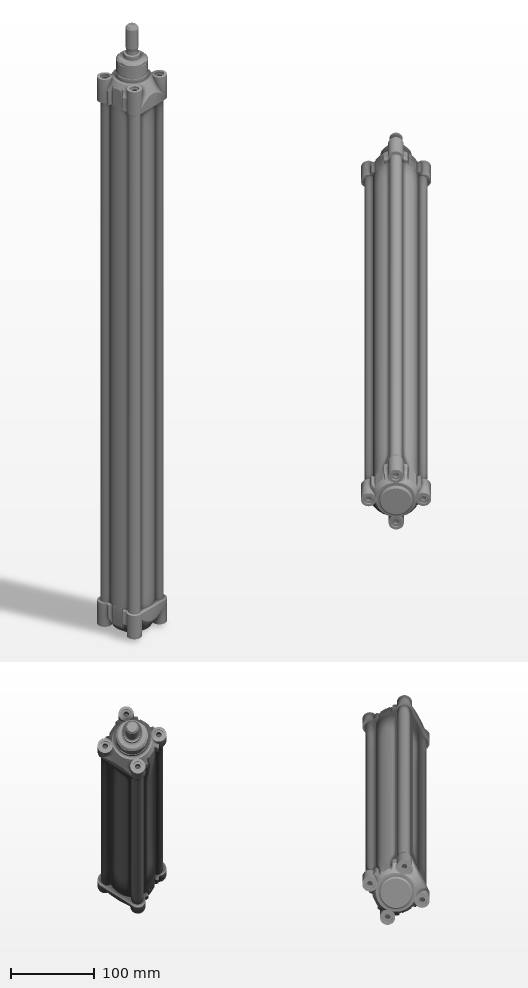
import cadquery as cq
import math

TOTAL_LENGTH = 829.0
CAP_WIDTH = 65.0
CAP_LENGTH = 32.0
SPIGOT_LENGTH = 4.0
ROD_STANDOFF = 31.0
ROD_END_LENGTH = 38.0

SHOULDER_Z = TOTAL_LENGTH - ROD_END_LENGTH
FRONT_FACE_Z = SHOULDER_Z - ROD_STANDOFF
FRONT_TUBE_Z = FRONT_FACE_Z - CAP_LENGTH
REAR_TUBE_Z = SPIGOT_LENGTH + CAP_LENGTH

CAP_RADIUS = CAP_WIDTH / 2
TAPER_TOP_RADIUS = 24.0
TAPER_LENGTH = 14.0
PAD_WIDTH = 41.5

LOBE_OFFSET = 23.0
LOBE_RADIUS = CAP_WIDTH / 2 - LOBE_OFFSET
SCREW_HOLE_DIAMETER = 7.0
SCREW_HOLE_DEPTH = 12.5
SCREW_RECESS_DIAMETER = 12.0
SCREW_RECESS_DEPTH = 2.5

POCKET_MOUTH_WIDTH = 23.0
POCKET_FLOOR_WIDTH = 18.0
POCKET_FLOOR_REACH = 26.5
RIB_WIDTH = 12.5
RIB_REACH = 28.0

BARREL_RADIUS = 28.0
TUBE_LOBE_OFFSET = 21.5
TUBE_LOBE_RADIUS = 7.5

COLLAR_DIAMETER = 40.0
COLLAR_LENGTH = 5.0
SPIGOT_CHAMFER = 2.0
NOSE_DIAMETER = 38.0
NOSE_LENGTH = 26.0
NOSE_CHAMFER = 2.5
NOTCH_WIDTH = 13.0
NOTCH_DEPTH = 1.0
UPPER_NOTCH_HEIGHT = 5.0
LOWER_NOTCH_HEIGHT = 2.5

ROD_DIAMETER = 20.0
UNDERCUT_DIAMETER = 13.0
UNDERCUT_LENGTH = 4.0
THREAD_DIAMETER = 16.0
THREAD_TIP_DIAMETER = 12.0
THREAD_TIP_LENGTH = 3.0
THREAD_RUNOUT_LENGTH = 5.0

QUARTER_TURN = 90


def cylinder(diameter, bottom, length):
    return cq.Workplane("XY", origin=(0, 0, bottom)).circle(diameter / 2).extrude(length)


def turned(shape, angle):
    return shape.rotate((0, 0, 0), (0, 0, 1), angle)


def corner_points(offset):
    return [(x, y) for x in (-offset, offset) for y in (-offset, offset)]


def corner_lobes(offset, radius, bottom, length):
    base = cq.Workplane("XY", origin=(0, 0, bottom))
    return base.pushPoints(corner_points(offset)).circle(radius).extrude(length)


def tapered_envelope():
    """Solid of revolution whose taper trims the cap body below its outer face."""
    slope = TAPER_LENGTH / (CAP_RADIUS - TAPER_TOP_RADIUS)
    reach = math.hypot(CAP_RADIUS, PAD_WIDTH / 2)
    return (
        cq.Workplane("XZ")
        .polyline([
            (0, 0),
            (reach, 0),
            (reach, CAP_LENGTH - slope * (reach - TAPER_TOP_RADIUS)),
            (TAPER_TOP_RADIUS, CAP_LENGTH),
            (0, CAP_LENGTH),
        ])
        .close()
        .revolve(360, (0, 0), (0, 1))
    )


def side_pocket():
    """Cutter for the pocket on the +X side."""
    return (
        cq.Workplane("XY")
        .polyline([
            (POCKET_FLOOR_REACH, -POCKET_FLOOR_WIDTH / 2),
            (CAP_RADIUS, -POCKET_MOUTH_WIDTH / 2),
            (CAP_RADIUS, POCKET_MOUTH_WIDTH / 2),
            (POCKET_FLOOR_REACH, POCKET_FLOOR_WIDTH / 2),
        ])
        .close()
        .extrude(CAP_LENGTH)
    )


def make_cap():
    """End cap with its tube face at Z = 0 and its outer face at the top."""
    cap = cylinder(CAP_WIDTH, 0, CAP_LENGTH)
    pad = cq.Workplane("XY").center(CAP_RADIUS / 2, 0).rect(CAP_RADIUS, PAD_WIDTH).extrude(CAP_LENGTH)
    cap = cap.union(pad)

    rib = cq.Workplane("XY").center(RIB_REACH / 2, 0).rect(RIB_REACH, RIB_WIDTH).extrude(CAP_LENGTH)
    for side in (1, 2, 3):
        angle = side * QUARTER_TURN
        cap = cap.cut(turned(side_pocket(), angle)).union(turned(rib, angle))

    cap = cap.intersect(tapered_envelope())
    cap = cap.union(corner_lobes(LOBE_OFFSET, LOBE_RADIUS, 0, CAP_LENGTH))
    return (
        cap.faces(">Z")
        .workplane(origin=(0, 0, CAP_LENGTH))
        .pushPoints(corner_points(LOBE_OFFSET))
        .cboreHole(SCREW_HOLE_DIAMETER, SCREW_RECESS_DIAMETER, SCREW_RECESS_DEPTH, SCREW_HOLE_DEPTH)
    )


def make_tube():
    length = FRONT_TUBE_Z - REAR_TUBE_Z
    barrel = cylinder(2 * BARREL_RADIUS, REAR_TUBE_Z, length)
    return barrel.union(corner_lobes(TUBE_LOBE_OFFSET, TUBE_LOBE_RADIUS, REAR_TUBE_Z, length))


def make_nose():
    """Guide nose with four shallow notches at its top and four just above the collar."""
    nose = cylinder(NOSE_DIAMETER, FRONT_FACE_Z, NOSE_LENGTH).faces(">Z").chamfer(NOSE_CHAMFER)
    upper_bottom = FRONT_FACE_Z + NOSE_LENGTH - UPPER_NOTCH_HEIGHT
    lower_bottom = FRONT_FACE_Z + COLLAR_LENGTH
    for bottom, height in ((upper_bottom, UPPER_NOTCH_HEIGHT), (lower_bottom, LOWER_NOTCH_HEIGHT)):
        notch = (
            cq.Workplane("XY", origin=(0, 0, bottom))
            .center(NOSE_DIAMETER / 2, 0)
            .rect(2 * NOTCH_DEPTH, NOTCH_WIDTH)
            .extrude(height)
        )
        for side in range(4):
            nose = nose.cut(turned(notch, side * QUARTER_TURN))
    return nose.union(cylinder(COLLAR_DIAMETER, FRONT_FACE_Z, COLLAR_LENGTH))


def make_housing():
    front_cap = make_cap().translate((0, 0, FRONT_TUBE_Z))
    rear_cap = make_cap().mirror("XY").translate((0, 0, REAR_TUBE_Z))
    spigot = cylinder(COLLAR_DIAMETER, 0, SPIGOT_LENGTH).faces("<Z").chamfer(SPIGOT_CHAMFER)
    housing = make_tube().union(front_cap).union(rear_cap).union(spigot).union(make_nose())
    return housing.cut(cylinder(ROD_DIAMETER, REAR_TUBE_Z, TOTAL_LENGTH))


def make_rod():
    """Piston rod with an undercut, a tapered thread run-out and a chamfered tip."""
    undercut_top = SHOULDER_Z + UNDERCUT_LENGTH
    return (
        cq.Workplane("XZ")
        .polyline([
            (0, REAR_TUBE_Z),
            (ROD_DIAMETER / 2, REAR_TUBE_Z),
            (ROD_DIAMETER / 2, SHOULDER_Z),
            (UNDERCUT_DIAMETER / 2, SHOULDER_Z),
            (UNDERCUT_DIAMETER / 2, undercut_top),
            (THREAD_DIAMETER / 2, undercut_top + THREAD_RUNOUT_LENGTH),
            (THREAD_DIAMETER / 2, TOTAL_LENGTH - THREAD_TIP_LENGTH),
            (THREAD_TIP_DIAMETER / 2, TOTAL_LENGTH),
            (0, TOTAL_LENGTH),
        ])
        .close()
        .revolve(360, (0, 0), (0, 1))
    )


housing = make_housing()
rod = make_rod()
result = cq.Compound.makeCompound([housing.val(), rod.val()])